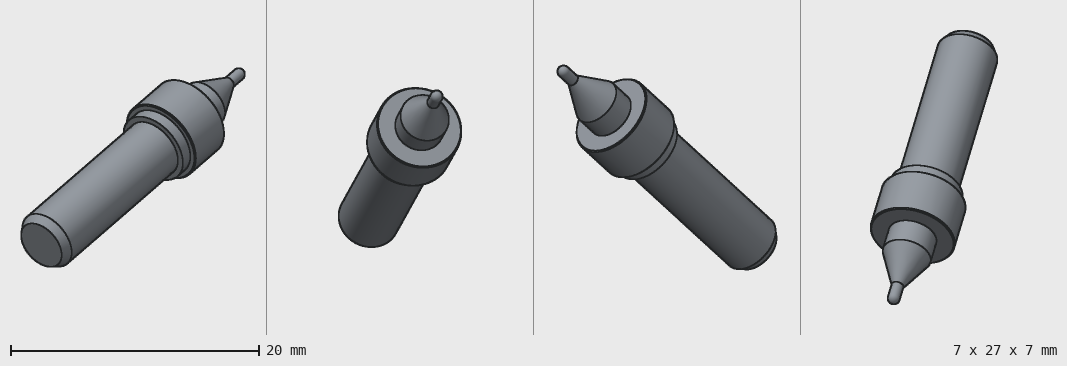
import cadquery as cq

TOTAL_LENGTH = 27.0
SHAFT_LENGTH = 15.0
SHAFT_CHAMFER_LENGTH = 0.75
FLANGE_LENGTH = 1.0
COLLAR_LENGTH = 3.97
TIP_BASE_LENGTH = 2.02
CONE_LENGTH = 3.19

SHAFT_DIAMETER = 5.0
SHAFT_END_DIAMETER = 4.1
FLANGE_DIAMETER = 6.0
COLLAR_DIAMETER = 7.0
TIP_BASE_DIAMETER = 4.0
NEEDLE_DIAMETER = 1.0

COLLAR_CHAMFER = 0.095

flange_end = SHAFT_LENGTH + FLANGE_LENGTH
collar_end = flange_end + COLLAR_LENGTH
cone_start = collar_end + TIP_BASE_LENGTH
cone_end = cone_start + CONE_LENGTH


def cylinder(diameter, start, length):
    """Solid cylinder along +Y, starting at Y = start."""
    plane = cq.Plane(origin=(0, start, 0), xDir=(1, 0, 0), normal=(0, 1, 0))
    return cq.Workplane(plane).circle(diameter / 2).extrude(length)


def make_shaft():
    """Plain shaft with a steep lead-in chamfer on its free end."""
    chamfer_width = (SHAFT_DIAMETER - SHAFT_END_DIAMETER) / 2
    profile = (
        cq.Workplane("XY")
        .lineTo(SHAFT_DIAMETER / 2 - chamfer_width, 0)
        .lineTo(SHAFT_DIAMETER / 2, SHAFT_CHAMFER_LENGTH)
        .lineTo(SHAFT_DIAMETER / 2, SHAFT_LENGTH)
        .lineTo(0, SHAFT_LENGTH)
        .close()
    )
    return profile.revolve(360, (0, 0), (0, 1))


def make_collar():
    """Chamfered collar with a smaller flange on the shaft side."""
    flange = cylinder(FLANGE_DIAMETER, SHAFT_LENGTH, FLANGE_LENGTH)
    ring = cylinder(COLLAR_DIAMETER, flange_end, COLLAR_LENGTH)
    ring = ring.faces("<Y or >Y").chamfer(COLLAR_CHAMFER)
    return flange.union(ring)


def make_tip():
    """Cylindrical base, cone and thin needle with a hemispherical end."""
    needle_radius = NEEDLE_DIAMETER / 2
    dome_start = TOTAL_LENGTH - needle_radius
    profile = (
        cq.Workplane("XY")
        .moveTo(0, collar_end)
        .lineTo(TIP_BASE_DIAMETER / 2, collar_end)
        .lineTo(TIP_BASE_DIAMETER / 2, cone_start)
        .lineTo(needle_radius, cone_end)
        .lineTo(needle_radius, dome_start)
        .radiusArc((0, TOTAL_LENGTH), -needle_radius)
        .close()
    )
    return profile.revolve(360, (0, 0), (0, 1))


shaft = make_shaft()
collar = make_collar()
tip = make_tip()

result = cq.Compound.makeCompound([shaft.val(), collar.val(), tip.val()])